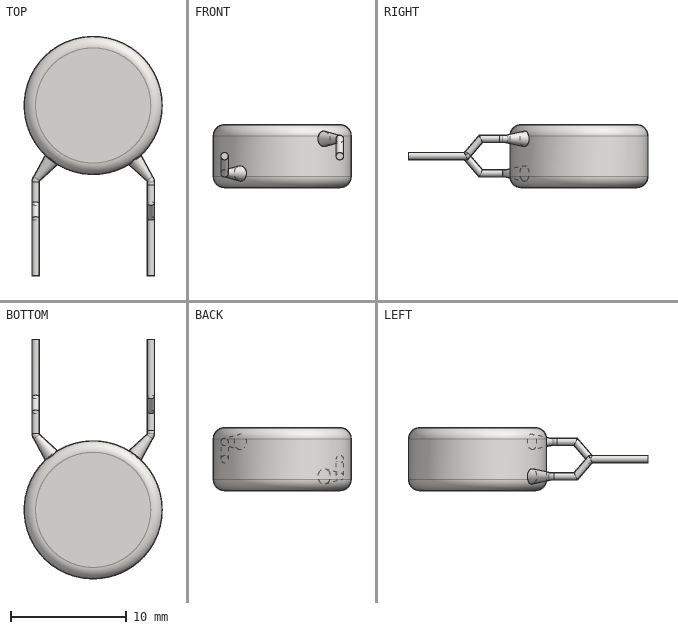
import cadquery as cq
import math


overall_length = 20.8
disc_diameter = 12.0
disc_height = 5.5
rim_fillet = 1.0
disc_radius = disc_diameter / 2

lead_pitch = 10.0
lead_diameter = 0.65
lead_radius = lead_diameter / 2
lead_level = 1.5
tip_length = 5.0
crank_length = 1.3
tip_y = disc_radius - overall_length
crank_end_y = tip_y + tip_length
crank_start_y = crank_end_y + crank_length

root_angle = 38.0
elbow_radius = 0.45
elbow_end_y = -6.64
cone_base_radius = 0.67
cone_overlap = 0.31
right_sleeve = 0.25
left_sleeve = 0.0


def make_disc():
    disc = cq.Workplane("XY").workplane(offset=-disc_height / 2).circle(disc_radius).extrude(disc_height)
    return disc.faces("<Z or >Z").edges().fillet(rim_fillet)


def make_root(side, sleeve, disc):
    """Coated root of one lead; side is +1 for the right and upper, -1 for the left and lower."""
    lead_x = side * lead_pitch / 2
    level = side * lead_level
    angle = math.radians(root_angle)

    elbow = (
        cq.Workplane("XZ", origin=(lead_x, elbow_end_y, level))
        .circle(lead_radius)
        .revolve(root_angle, (-side * elbow_radius, 0), (-side * elbow_radius, side))
    )

    mouth_x = lead_x - side * elbow_radius * (1 - math.cos(angle))
    mouth_y = elbow_end_y + elbow_radius * math.sin(angle)
    cone_length = math.hypot(mouth_x, mouth_y) - disc_radius
    taper = (cone_base_radius - lead_radius) / cone_length
    cone = cq.Solid.makeCone(
        lead_radius,
        cone_base_radius + taper * cone_overlap,
        cone_length + cone_overlap,
        pnt=cq.Vector(mouth_x, mouth_y, level),
        dir=cq.Vector(-side * math.sin(angle), math.cos(angle), 0),
    )
    root = elbow.union(cq.Workplane(cone)).cut(disc)

    if sleeve > 0:
        root = root.union(
            cq.Workplane("XZ", origin=(lead_x, elbow_end_y, level))
            .circle(lead_radius)
            .extrude(sleeve)
        )
    return root


def make_lead(side, sleeve):
    """Bare wire from the end of the coated root to the tip, with mitred bends."""
    lead_x = side * lead_pitch / 2
    level = side * lead_level
    start_y = elbow_end_y - sleeve
    path = cq.Workplane("YZ", origin=(lead_x, 0, 0)).polyline(
        [(start_y, level), (crank_start_y, level), (crank_end_y, 0), (tip_y, 0)]
    )
    return (
        cq.Workplane("XZ", origin=(lead_x, start_y, level))
        .circle(lead_radius)
        .sweep(path, transition="right")
    )


disc = make_disc()
bodies = [disc.solids().val()]
for side, sleeve in ((-1, left_sleeve), (1, right_sleeve)):
    bodies.append(make_root(side, sleeve, disc).solids().val())
    bodies.append(make_lead(side, sleeve).solids().val())

result = cq.Compound.makeCompound(bodies)